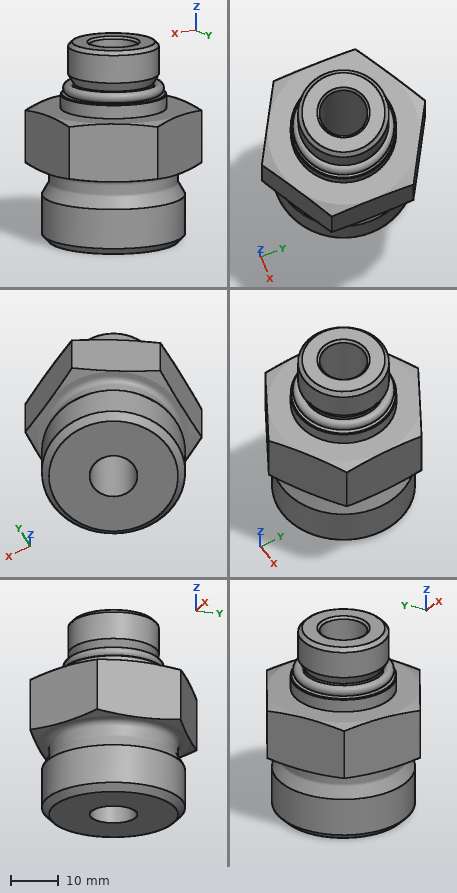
import cadquery as cq
import math

BARREL_TOP = 9.9
HEX_BOTTOM = 16.0
HEX_TOP = 28.48
COLLAR_TOP = 31.5
STUD_BOTTOM = 35.75
TOTAL_HEIGHT = 42.5

BARREL_DIAMETER = 30.0
NECK_DIAMETER = 27.0
COLLAR_DIAMETER = 22.2
GROOVE_DIAMETER = 16.75
STUD_DIAMETER = 19.05
BORE_DIAMETER = 10.0

ACROSS_FLATS = 32.0
ACROSS_CORNERS = ACROSS_FLATS / math.cos(math.radians(30))
HEX_FACE_DIAMETER = 31.75
HEX_CHAMFER_ANGLE = 15

RELIEF_ANGLE = 30
NECK_TOP_FILLET = 1.25
NECK_BOTTOM_FILLET = 1.0
COLLAR_CHAMFER = 0.2
STUD_CHAMFER = 0.85
BORE_CHAMFER = 0.5

RING_THICKNESS = 2.2


def disc(diameter, bottom, top):
    """Upright cylinder between two heights."""
    return cq.Workplane("XY").workplane(offset=bottom).circle(diameter / 2).extrude(top - bottom)


def revolved(points):
    """Solid of revolution about Z from (radius, height) points."""
    return cq.Workplane("XZ").polyline(points).close().revolve(360, (0, 0), (0, 1))


def relief_height(large_diameter, small_diameter):
    """Axial length of a relief cone between two diameters."""
    return (large_diameter - small_diameter) / 2 / math.tan(math.radians(RELIEF_ANGLE))


def make_hexagon():
    """Hexagon with corners on the Y axis, its corners chamfered by cones at both ends."""
    prism = (
        cq.Workplane("XY")
        .workplane(offset=HEX_BOTTOM)
        .polygon(6, ACROSS_CORNERS)
        .extrude(HEX_TOP - HEX_BOTTOM)
        .rotate((0, 0, 0), (0, 0, 1), 90)
    )
    face_radius = HEX_FACE_DIAMETER / 2
    corner_radius = ACROSS_CORNERS / 2
    corner_drop = (corner_radius - face_radius) * math.tan(math.radians(HEX_CHAMFER_ANGLE))
    chamfer_envelope = revolved([
        (0, HEX_BOTTOM),
        (face_radius, HEX_BOTTOM),
        (corner_radius, HEX_BOTTOM + corner_drop),
        (corner_radius, HEX_TOP - corner_drop),
        (face_radius, HEX_TOP),
        (0, HEX_TOP),
    ])
    return prism.intersect(chamfer_envelope)


def make_lower_end():
    """Large threaded barrel, relief cone and neck flaring out under the hexagon."""
    barrel_radius = BARREL_DIAMETER / 2
    neck_radius = NECK_DIAMETER / 2
    end_chamfer = barrel_radius - neck_radius
    cone_top = BARREL_TOP + relief_height(BARREL_DIAMETER, NECK_DIAMETER)
    tangent = NECK_BOTTOM_FILLET * math.tan(math.radians(RELIEF_ANGLE / 2))
    fillet_start = (
        neck_radius + tangent * math.sin(math.radians(RELIEF_ANGLE)),
        cone_top - tangent * math.cos(math.radians(RELIEF_ANGLE)),
    )
    fillet_end = (neck_radius, cone_top + tangent)
    return (
        cq.Workplane("XZ")
        .moveTo(0, 0)
        .lineTo(neck_radius, 0)
        .lineTo(barrel_radius, end_chamfer)
        .lineTo(barrel_radius, BARREL_TOP)
        .lineTo(*fillet_start)
        .radiusArc(fillet_end, NECK_BOTTOM_FILLET)
        .lineTo(neck_radius, HEX_BOTTOM - NECK_TOP_FILLET)
        .radiusArc((neck_radius + NECK_TOP_FILLET, HEX_BOTTOM), NECK_TOP_FILLET)
        .lineTo(0, HEX_BOTTOM)
        .close()
        .revolve(360, (0, 0), (0, 1))
    )


def make_upper_end():
    """Collar, ring groove and small threaded stud above the hexagon."""
    collar = disc(COLLAR_DIAMETER, HEX_TOP, COLLAR_TOP).faces(">Z").chamfer(COLLAR_CHAMFER)
    groove_radius = GROOVE_DIAMETER / 2
    stud_radius = STUD_DIAMETER / 2
    stud = revolved([
        (0, COLLAR_TOP),
        (groove_radius, COLLAR_TOP),
        (groove_radius, STUD_BOTTOM - relief_height(STUD_DIAMETER, GROOVE_DIAMETER)),
        (stud_radius, STUD_BOTTOM),
        (stud_radius, TOTAL_HEIGHT - STUD_CHAMFER),
        (stud_radius - STUD_CHAMFER, TOTAL_HEIGHT),
        (0, TOTAL_HEIGHT),
    ])
    return collar.union(stud)


def make_bore():
    """Through bore with a chamfered mouth at the stud end."""
    bore_radius = BORE_DIAMETER / 2
    return revolved([
        (0, 0),
        (bore_radius, 0),
        (bore_radius, TOTAL_HEIGHT - BORE_CHAMFER),
        (bore_radius + BORE_CHAMFER, TOTAL_HEIGHT),
        (0, TOTAL_HEIGHT),
    ])


def make_fitting():
    """Complete screw fitting."""
    return make_lower_end().union(make_hexagon()).union(make_upper_end()).cut(make_bore())


def make_sealing_ring():
    """O-ring on the groove floor, midway between the collar and the relief cone."""
    ring_radius = RING_THICKNESS / 2
    pitch_radius = GROOVE_DIAMETER / 2 + ring_radius
    groove_top = STUD_BOTTOM - relief_height(STUD_DIAMETER, GROOVE_DIAMETER)
    return (
        cq.Workplane("XZ")
        .center(pitch_radius, (COLLAR_TOP + groove_top) / 2)
        .circle(ring_radius)
        .revolve(360, (-pitch_radius, 0), (-pitch_radius, 1))
    )


fitting = make_fitting()
sealing_ring = make_sealing_ring()

result = cq.Compound.makeCompound([fitting.val(), sealing_ring.val()])